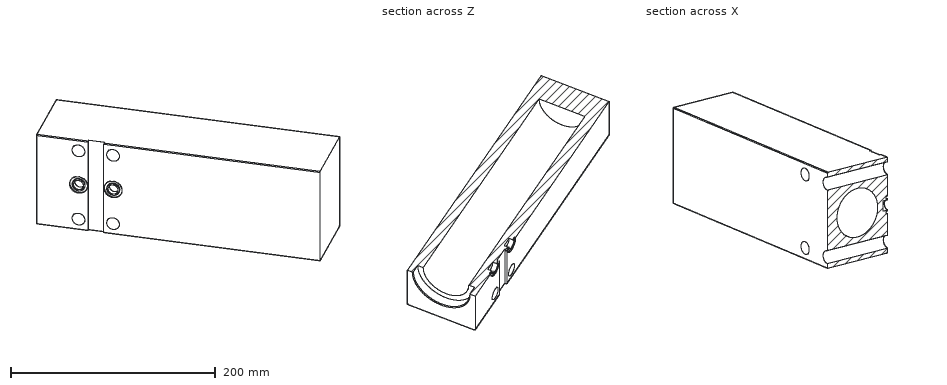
import cadquery as cq

length = 287.0
depth = 75.0
height = 100.0
edge_chamfer = 1.0

slot_center_x = 60.0
slot_width = 16.0
slot_depth = 2.5

column_spacing = 35.0
bolt_row_spacing = 76.0
bolt_hole_diameter = 13.0
seal_groove_outer_diameter = 18.0
seal_groove_inner_diameter = 13.0
seal_groove_depth = 1.5
port_diameter = 10.0
port_depth = 5.2

bore_diameter = 50.0
end_wall = 28.7
counterbore_diameter = 62.0
counterbore_depth = 10.0
counterbore_chamfer = 1.0

front_y = -depth / 2
column_xs = [slot_center_x - column_spacing / 2, slot_center_x + column_spacing / 2]


def cylinder_along_y(diameter, x, z, start_y, reach):
    """Cylinder starting at start_y and running toward +Y."""
    return cq.Workplane(cq.Solid.makeCylinder(
        diameter / 2, reach, cq.Vector(x, start_y, z), cq.Vector(0, 1, 0)))


def make_block():
    """Rectangular block with its left end at X = 0 and its long edges chamfered."""
    block = cq.Workplane("XY").box(length, depth, height, centered=(False, True, True))
    return block.edges("|X").chamfer(edge_chamfer)


def make_slot():
    """Shallow slot running the full height of the front face."""
    return (
        cq.Workplane("XY")
        .box(slot_width, slot_depth, height, centered=(True, False, True))
        .translate((slot_center_x, front_y, 0))
    )


def make_bore():
    """Stepped bore on the block axis, with a chamfered mouth."""
    bore = cq.Workplane("YZ").circle(bore_diameter / 2).extrude(length - end_wall)
    counterbore = cq.Workplane("YZ").circle(counterbore_diameter / 2).extrude(counterbore_depth)
    mouth = cq.Workplane(cq.Solid.makeCone(
        counterbore_diameter / 2 + counterbore_chamfer, counterbore_diameter / 2,
        counterbore_chamfer, cq.Vector(0, 0, 0), cq.Vector(1, 0, 0)))
    return bore.union(counterbore).union(mouth)


def make_port(x):
    """Flat-bottomed blind port surrounded by a seal groove in the front face."""
    groove_outside = cylinder_along_y(seal_groove_outer_diameter, x, 0, front_y, seal_groove_depth)
    groove_inside = cylinder_along_y(seal_groove_inner_diameter, x, 0, front_y, seal_groove_depth)
    port = cylinder_along_y(port_diameter, x, 0, front_y, port_depth)
    return groove_outside.cut(groove_inside).union(port)


result = make_block().cut(make_slot()).cut(make_bore())
for column_x in column_xs:
    result = result.cut(make_port(column_x))
    for bolt_z in (-bolt_row_spacing / 2, bolt_row_spacing / 2):
        result = result.cut(cylinder_along_y(bolt_hole_diameter, column_x, bolt_z, front_y, depth))